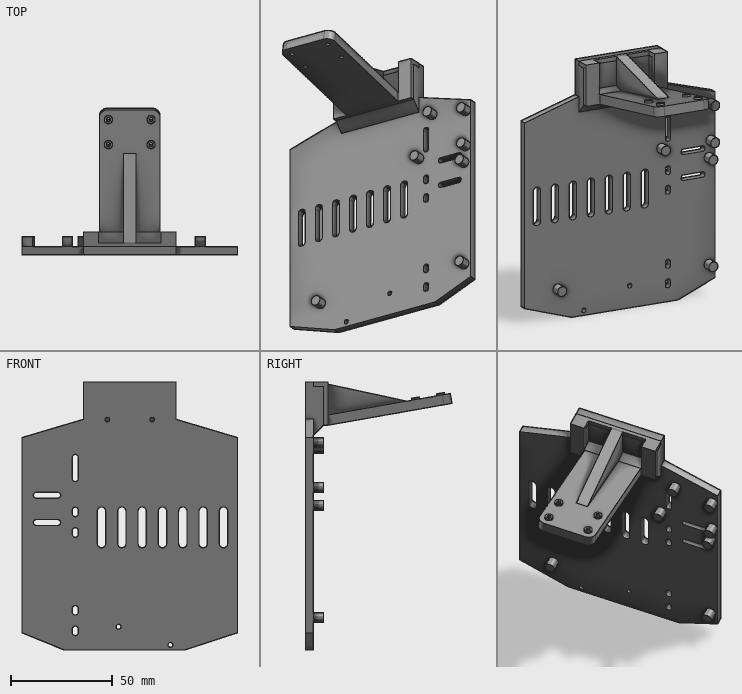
import cadquery as cq
import math


plate_width = 106.0
plate_height = 132.0
plate_thickness = 4.0
tab_width = 45.5
tab_shoulder_z = 113.6
side_top_z = 104.6
side_bottom_z = 8.5
bottom_left_x = -32.2
bottom_right_x = 26.9

cap_thickness = 2.25
block_depth = 5.0
block_back_y = plate_thickness + block_depth
block_top_z = plate_height - cap_thickness
block_bottom_z = 110.6

level = 0
upright = 90
vent_slot = (4.0, 20.0)
vent_count = 7
vent_pitch = 10.0
vent_first_x = -13.9
vent_z = 60.4
tie_slot = (2.8, 13.3)
upright_tie_centres = [(-26.8, 89.6)]
level_tie_centres = [(-40.7, 76.2), (-40.7, 62.8)]
short_slot = (2.8, 4.6)
short_slot_x = -26.8
short_slot_heights = [68.0, 57.9, 19.6, 9.5]

screw_diameter = 2.3
bracket_screw_centres = [(-11.0, 113.4), (11.0, 113.4)]
lower_screw_centres = [(-5.5, 11.5), (20.0, 2.6)]

pin_diameter = 5.0
pin_length = 5.0
pin_centres = [
    (-50.4, 99.1),
    (-50.4, 80.0),
    (-30.7, 102.0),
    (-23.0, 80.0),
    (-49.4, 71.2),
    (-49.4, 16.0),
    (34.7, 16.0),
]

wall_back_y = block_back_y + cap_thickness

arm_width = 30.0
arm_thickness = 5.0
arm_angle = 10.0
arm_corner_radius = 4.0
arm_end_y = 72.21
arm_bottom_z = block_bottom_z

boss_diameter = 4.0
boss_height = 1.0
boss_hole_diameter = 2.0
boss_spacing_x = 21.0
boss_spacing_along = 12.5
boss_end_distance = 4.8

rib_width = 6.0
rib_tip_y = 49.9

pocket_width = 30.6
pocket_front_y = 5.9
pocket_floor_angle = 13.5

arm_slope = math.tan(math.radians(arm_angle))
arm_cos = math.cos(math.radians(arm_angle))
arm_rise = arm_thickness / arm_cos
arm_length = (arm_end_y - wall_back_y) / arm_cos
pocket_floor_back_z = arm_bottom_z + arm_rise
pocket_floor_rise = (wall_back_y - pocket_front_y) * math.tan(math.radians(pocket_floor_angle))
pocket_floor_front_z = pocket_floor_back_z + pocket_floor_rise


def arm_top_z(y):
    """Height of the arm's upper face at a distance y."""
    return arm_bottom_z + arm_rise + (y - wall_back_y) * arm_slope


def front_plane(y=0.0):
    """XZ sketch plane at a distance y; a negative extrusion runs toward +Y."""
    return cq.Workplane("XZ", origin=(0, y, 0))


def side_profile(points, width):
    """Prism of a YZ outline, centred on X = 0."""
    return cq.Workplane("YZ").polyline(points).close().extrude(width / 2, both=True)


def pocket_cutter():
    """Space above the sloping pocket floor, open at the top and at the back."""
    return side_profile(
        [
            (pocket_front_y, pocket_floor_front_z),
            (wall_back_y, pocket_floor_back_z),
            (wall_back_y, plate_height),
            (pocket_front_y, plate_height),
        ],
        pocket_width,
    )


def foot():
    """Foot of the bracket under the pocket floor, reaching into the mounting block."""
    return side_profile(
        [
            (pocket_front_y, block_bottom_z),
            (wall_back_y, block_bottom_z),
            (wall_back_y, pocket_floor_back_z),
            (pocket_front_y, pocket_floor_front_z),
        ],
        pocket_width,
    )


def plate_blank():
    half_plate = plate_width / 2
    half_tab = tab_width / 2
    outline = [
        (bottom_left_x, 0),
        (bottom_right_x, 0),
        (half_plate, side_bottom_z),
        (half_plate, side_top_z),
        (half_tab, tab_shoulder_z),
        (half_tab, plate_height),
        (-half_tab, plate_height),
        (-half_tab, tab_shoulder_z),
        (-half_plate, side_top_z),
        (-half_plate, side_bottom_z),
    ]
    return front_plane().polyline(outline).close().extrude(-plate_thickness)


def mounting_block():
    """Thickened part of the tab, with a 45 degree slope underneath."""
    return side_profile(
        [
            (plate_thickness, block_top_z),
            (block_back_y, block_top_z),
            (block_back_y, block_bottom_z),
            (plate_thickness, block_bottom_z - block_depth),
        ],
        tab_width,
    )


def slots(size, centres, angle):
    width, length = size
    return front_plane().pushPoints(centres).slot2D(length, width, angle).extrude(-plate_thickness)


def screw_holes(centres, depth):
    return front_plane().pushPoints(centres).circle(screw_diameter / 2).extrude(-depth)


def build_base_plate():
    vent_centres = [(vent_first_x + i * vent_pitch, vent_z) for i in range(vent_count)]
    short_centres = [(short_slot_x, z) for z in short_slot_heights]
    pins = (
        front_plane(plate_thickness)
        .pushPoints(pin_centres)
        .circle(pin_diameter / 2)
        .extrude(-pin_length)
    )
    return (
        plate_blank()
        .union(mounting_block())
        .cut(pocket_cutter())
        .cut(foot())
        .union(pins)
        .cut(slots(vent_slot, vent_centres, upright))
        .cut(slots(tie_slot, upright_tie_centres, upright))
        .cut(slots(tie_slot, level_tie_centres, level))
        .cut(slots(short_slot, short_centres, upright))
        .cut(screw_holes(bracket_screw_centres, pocket_front_y))
        .cut(screw_holes(lower_screw_centres, plate_thickness))
    )


def bracket_wall():
    """Wall behind the mounting block with a cap that hooks over its top."""
    return side_profile(
        [
            (plate_thickness, plate_height),
            (wall_back_y, plate_height),
            (wall_back_y, block_bottom_z),
            (block_back_y, block_bottom_z),
            (block_back_y, block_top_z),
            (plate_thickness, block_top_z),
        ],
        tab_width,
    )


def arm_plane():
    """Plane of the arm's lower face: local X across, local Y along the arm, Z out of its top."""
    return cq.Workplane(
        cq.Plane(origin=(0, wall_back_y, arm_bottom_z), xDir=(1, 0, 0), normal=(0, -arm_slope, 1))
    )


def arm():
    """Sloping plate with rounded far corners, trimmed flush at the wall's back face."""
    overrun = arm_thickness
    slab = (
        arm_plane()
        .center(0, (arm_length - overrun) / 2)
        .rect(arm_width, arm_length + overrun)
        .extrude(arm_thickness)
    )
    corner_selector = cq.selectors.ParallelDirSelector(cq.Vector(0, -arm_slope, 1))
    slab = slab.faces(">Y").edges(corner_selector).fillet(arm_corner_radius)
    beyond_wall = (
        cq.Workplane("XY", origin=(0, wall_back_y, 0))
        .box(arm_width, arm_end_y, plate_height, centered=(True, False, False))
    )
    return slab.intersect(beyond_wall)


def boss_cylinders(diameter, height):
    """Four upright cylinders at the boss positions, starting at the arm's lower face."""
    return (
        arm_plane()
        .center(0, arm_length - boss_end_distance - boss_spacing_along / 2)
        .rect(boss_spacing_x, boss_spacing_along, forConstruction=True)
        .vertices()
        .circle(diameter / 2)
        .extrude(height)
    )


def rib():
    """Upright web on the arm and pocket floor, sloping up to the front edge of the pocket."""
    return side_profile(
        [
            (pocket_front_y, pocket_floor_front_z),
            (wall_back_y, pocket_floor_back_z),
            (rib_tip_y, arm_top_z(rib_tip_y)),
            (pocket_front_y, plate_height),
        ],
        rib_width,
    )


def build_bracket():
    boss_top = arm_thickness + boss_height
    return (
        bracket_wall()
        .cut(pocket_cutter())
        .union(foot())
        .union(arm())
        .union(rib())
        .union(boss_cylinders(boss_diameter, boss_top))
        .cut(boss_cylinders(boss_hole_diameter, boss_top))
    )


base_plate = build_base_plate()
bracket = build_bracket()

result = cq.Compound.makeCompound([*base_plate.solids().vals(), *bracket.solids().vals()])